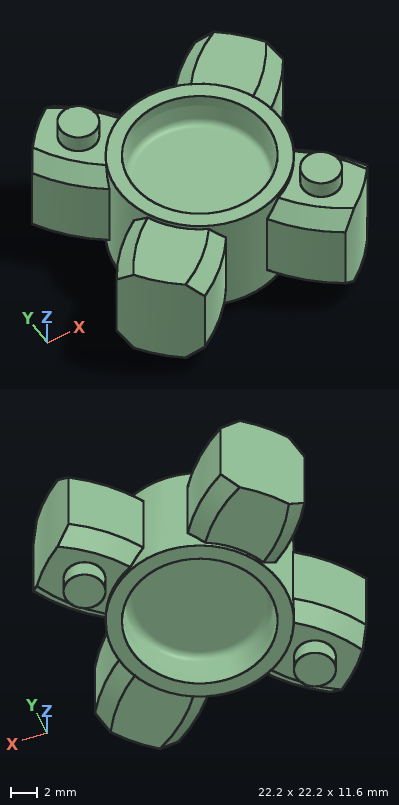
import cadquery as cq
import math

hub_diameter = 14.28
hub_height = 9.25
recess_diameter = 11.8
recess_depth = 2.87
recess_straight_depth = 1.1
recess_taper = 10.0
recess_fillet = 0.62

leg_count = 4
leg_height = 8.48
overall_width = 22.2
tip_corner_offset = 6.22
leg_tip_radius = math.hypot(overall_width / 2, tip_corner_offset)
flank_radius = 13.77
flank_center_distance = 8.88
flank_chamfer = 1.29

corner_along = (overall_width / 2 + tip_corner_offset) / math.sqrt(2)
corner_across = (overall_width / 2 - tip_corner_offset) / math.sqrt(2)
flank_axis_offset = (
    math.sqrt(flank_radius**2 - (corner_along - flank_center_distance) ** 2) - corner_across
)

pin_diameter = 3.18
pin_offset = 6.7
overall_height = 11.64


def centered_cylinder(radius, height):
    return cq.Workplane("XY").circle(radius).extrude(height / 2, both=True)


def make_leg():
    """Leg along +X: two crowned, chamfered flanks cut off by the tip cylinder."""
    flank = centered_cylinder(flank_radius, leg_height).edges().chamfer(flank_chamfer)
    left = flank.translate((flank_center_distance, -flank_axis_offset, 0))
    right = flank.translate((flank_center_distance, flank_axis_offset, 0))
    outer_half = cq.Workplane("XY").box(
        leg_tip_radius, 2 * leg_tip_radius, leg_height, centered=(False, True, True)
    )
    tip = centered_cylinder(leg_tip_radius, leg_height)
    return left.intersect(right).intersect(tip).intersect(outer_half)


def make_recess():
    """Recess in the top face: straight wall, then a tapered wall with a filleted floor."""
    straight = (
        cq.Workplane("XY", origin=(0, 0, hub_height / 2))
        .circle(recess_diameter / 2)
        .extrude(-recess_straight_depth)
    )
    tapered = (
        straight.faces("<Z")
        .workplane()
        .circle(recess_diameter / 2)
        .extrude(recess_depth - recess_straight_depth, taper=recess_taper, combine=False)
        .faces("<Z")
        .edges()
        .fillet(recess_fillet)
    )
    return straight.union(tapered)


def make_pin(x, y, side):
    """Pin from mid-height to the top (side = 1) or to the bottom (side = -1)."""
    return (
        cq.Workplane("XY")
        .center(x, y)
        .circle(pin_diameter / 2)
        .extrude(side * overall_height / 2)
    )


result = centered_cylinder(hub_diameter / 2, hub_height)

leg = make_leg()
for index in range(leg_count):
    angle = 45 + index * 360 / leg_count
    result = result.union(leg.rotate((0, 0, 0), (0, 0, 1), angle))

for sign in (1, -1):
    result = result.union(make_pin(-sign * pin_offset, sign * pin_offset, 1))
    result = result.union(make_pin(sign * pin_offset, sign * pin_offset, -1))

recess = make_recess()
result = result.cut(recess).cut(recess.mirror("XY"))